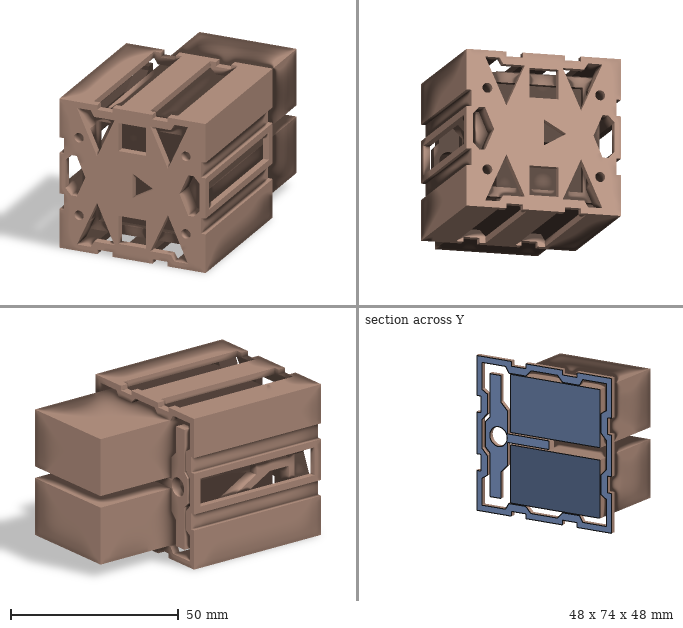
import cadquery as cq


HOUSING_SIZE = 48.0
HOUSING_LENGTH = HOUSING_SIZE
HOUSING_HALF = HOUSING_SIZE / 2
TOTAL_LENGTH = 74.0
WALL = 2.0
RAIL_WALL = 3.9
END_WALL = 2.5
CAVITY_HALF = HOUSING_HALF - WALL
RAIL_HALF_GAP = HOUSING_HALF - RAIL_WALL
RAIL_OUTER_TOP = 12.6
RAIL_OUTER_FOOT = 13.8

GROOVE_INNER = 6.5
GROOVE_OUTER = 11.55
GROOVE_DEPTH = 1.5

SLOT_LENGTH = HOUSING_LENGTH - 2 * END_WALL
TOP_SLOT_INNER = 4.65
TOP_SLOT_OUTER = RAIL_OUTER_FOOT
SIDE_SLOT_HALF = 4.45

BLOCK_INNER_X = 15.0
BLOCK_REAR = 6.5
SCREW_X = 17.55
SCREW_Z = 12.5
SCREW_DIAMETER = 3.0
CORNER_TRIANGLE_X = 11.6
CORNER_TRIANGLE_TIP_Z = 7.5
CORNER_TRIANGLE_HALF_BASE = 6.6
SIDE_OPENING_TIP_X = 15.5
SIDE_OPENING_SHOULDER_X = 18.3
SQUARE_OPENING = 9.0
SQUARE_OPENING_Z = 14.95
CENTER_TRIANGLE_TIP_X = 6.95
CENTER_TRIANGLE_HALF_HEIGHT = 4.0

CELL_WIDTH = 32.0
CELL_RIGHT = 20.0
CELL_TOP = 20.0
CELL_BOTTOM = 1.85
CELL_FRONT = 9.0
CELL_LEFT = CELL_RIGHT - CELL_WIDTH

FRAME_FRONT = BLOCK_REAR
FRAME_REAR = FRAME_FRONT + 2.1
FRAME_HALF_WIDTH = 19.3
FRAME_HALF_HEIGHT = 19.1
WINDOW_HALF_WIDTH = 14.05
WINDOW_HALF_HEIGHT = 16.05
TONGUE_HALF = 1.4
CROSSBAR_REAR = 10.1
SIDE_BAR_INNER_X = -15.3
SIDE_BAR_REAR = 20.9
ARM_RUN = 5.2
ARM_RISE = 0.56
BRACE_ROOT_X = -16.35
BRACE_SHIFT = 0.5
PLATE_THICKNESS = 3.0
PLATE_FRONT = HOUSING_LENGTH - PLATE_THICKNESS
PLATE_INNER_X = -13.0
PLATE_INNER_HALF = 8.5
PLATE_TAB_X = -20.9
PLATE_TAB_HALF = 4.0
PLATE_HOLE_X = -16.2
PLATE_HOLE_DIAMETER = 6.0


def box(x0, x1, y0, y1, z0, z1):
    """Axis-aligned box between the given limits."""
    return cq.Workplane("XY").box(x1 - x0, y1 - y0, z1 - z0, centered=False).translate((x0, y0, z0))


def prism_along_y(points, y0, y1):
    """Prism with an XZ outline, running from y0 to y1."""
    return cq.Workplane("XZ", origin=(0, y0, 0)).polyline(points).close().extrude(y0 - y1)


def cylinder_along_y(x, z, diameter, y0, y1):
    """Round bar parallel to Y, running from y0 to y1."""
    return cq.Workplane("XZ", origin=(x, y0, z)).circle(diameter / 2).extrude(y0 - y1)


def mirrored_in_x_and_z(shape):
    """The shape together with its mirror images in the YZ and XY planes."""
    pair = shape.union(shape.mirror("YZ"))
    return pair.union(pair.mirror("XY"))


def screw_holes(y0, y1):
    """Four holes that run through the housing front and the holder frame."""
    return mirrored_in_x_and_z(cylinder_along_y(SCREW_X, SCREW_Z, SCREW_DIAMETER, y0, y1))



def rail_outline(inner_foot):
    """Bevelled rail on the upper wall, whose bevel near the middle starts at inner_foot."""
    return [
        (inner_foot, CAVITY_HALF),
        (GROOVE_INNER, RAIL_HALF_GAP),
        (RAIL_OUTER_TOP, RAIL_HALF_GAP),
        (RAIL_OUTER_FOOT, CAVITY_HALF),
    ]


def cavity_prism(y0, y1):
    """Inside of the tube: a square less the rails under the outside grooves."""
    square = box(-CAVITY_HALF, CAVITY_HALF, y0, y1, -CAVITY_HALF, CAVITY_HALF)
    top_rail = prism_along_y(rail_outline(TOP_SLOT_INNER), y0, y1)
    side_rail = prism_along_y([(z, x) for x, z in rail_outline(SIDE_SLOT_HALF)], y0, y1)
    return square.cut(mirrored_in_x_and_z(top_rail)).cut(mirrored_in_x_and_z(side_rail))


def screw_blocks():
    """Material behind the front wall, left and right of the middle space."""
    right = box(BLOCK_INNER_X, HOUSING_HALF, END_WALL, BLOCK_REAR, -HOUSING_HALF, HOUSING_HALF)
    return right.union(right.mirror("YZ"))


def grooves():
    """Two outside grooves on each of the four long faces."""
    floor = HOUSING_HALF - GROOVE_DEPTH
    top = box(GROOVE_INNER, GROOVE_OUTER, 0, HOUSING_LENGTH, floor, HOUSING_HALF)
    side = box(floor, HOUSING_HALF, 0, HOUSING_LENGTH, GROOVE_INNER, GROOVE_OUTER)
    return mirrored_in_x_and_z(top).union(mirrored_in_x_and_z(side))


def slots():
    """Two slots in the top and bottom faces and one in each side face."""
    rear = END_WALL + SLOT_LENGTH
    top = box(TOP_SLOT_INNER, TOP_SLOT_OUTER, END_WALL, rear, RAIL_HALF_GAP, HOUSING_HALF)
    side = box(CAVITY_HALF, HOUSING_HALF, END_WALL, rear, -SIDE_SLOT_HALF, SIDE_SLOT_HALF)
    return mirrored_in_x_and_z(top).union(side).union(side.mirror("YZ"))


def front_openings():
    """Triangles, side openings and squares, held within the tube's inside outline.

    The triangles end level with the rails, also in the strip between two rails.
    """
    corner_triangle = prism_along_y(
        [
            (CORNER_TRIANGLE_X, CORNER_TRIANGLE_TIP_Z),
            (CORNER_TRIANGLE_X + CORNER_TRIANGLE_HALF_BASE, CAVITY_HALF),
            (CORNER_TRIANGLE_X - CORNER_TRIANGLE_HALF_BASE, CAVITY_HALF),
        ],
        0,
        BLOCK_REAR,
    )
    side_opening = prism_along_y(
        [
            (SIDE_OPENING_TIP_X, 0),
            (SIDE_OPENING_SHOULDER_X, GROOVE_INNER),
            (CAVITY_HALF, GROOVE_INNER),
            (CAVITY_HALF, -GROOVE_INNER),
            (SIDE_OPENING_SHOULDER_X, -GROOVE_INNER),
        ],
        0,
        BLOCK_REAR,
    )
    square = box(
        -SQUARE_OPENING / 2,
        SQUARE_OPENING / 2,
        0,
        END_WALL,
        SQUARE_OPENING_Z - SQUARE_OPENING / 2,
        SQUARE_OPENING_Z + SQUARE_OPENING / 2,
    )
    center_triangle = prism_along_y(
        [
            (0, CENTER_TRIANGLE_HALF_HEIGHT),
            (CENTER_TRIANGLE_TIP_X, 0),
            (0, -CENTER_TRIANGLE_HALF_HEIGHT),
        ],
        0,
        END_WALL,
    )
    openings = mirrored_in_x_and_z(corner_triangle)
    openings = openings.union(side_opening).union(side_opening.mirror("YZ"))
    openings = openings.union(square).union(square.mirror("XY")).union(center_triangle)
    top_strip = box(-GROOVE_INNER, GROOVE_INNER, 0, BLOCK_REAR, RAIL_HALF_GAP, CAVITY_HALF)
    openings = openings.cut(top_strip).cut(top_strip.mirror("XY"))
    return openings.intersect(cavity_prism(0, BLOCK_REAR))


def make_housing():
    outside = box(-HOUSING_HALF, HOUSING_HALF, 0, HOUSING_LENGTH, -HOUSING_HALF, HOUSING_HALF)
    body = outside.cut(cavity_prism(END_WALL, HOUSING_LENGTH)).union(screw_blocks())
    body = body.cut(front_openings()).cut(screw_holes(0, BLOCK_REAR))
    return body.cut(grooves()).cut(slots())



def make_cell(bottom):
    """Rectangular block whose underside is at the given height."""
    height = CELL_TOP - CELL_BOTTOM
    return box(CELL_LEFT, CELL_RIGHT, CELL_FRONT, TOTAL_LENGTH, bottom, bottom + height)



def front_frame():
    """Window frame with a crossbar that reaches back between the cells."""
    frame = box(
        -FRAME_HALF_WIDTH,
        FRAME_HALF_WIDTH,
        FRAME_FRONT,
        FRAME_REAR,
        -FRAME_HALF_HEIGHT,
        FRAME_HALF_HEIGHT,
    )
    window = box(
        -WINDOW_HALF_WIDTH,
        WINDOW_HALF_WIDTH,
        FRAME_FRONT,
        FRAME_REAR,
        -WINDOW_HALF_HEIGHT,
        WINDOW_HALF_HEIGHT,
    )
    crossbar = box(
        -FRAME_HALF_WIDTH,
        FRAME_HALF_WIDTH,
        FRAME_FRONT,
        CROSSBAR_REAR,
        -TONGUE_HALF,
        TONGUE_HALF,
    )
    return frame.cut(window).cut(screw_holes(FRAME_FRONT, FRAME_REAR)).union(crossbar)


def forked_side_arm():
    """Side bar that splits into one arm rising and one falling to the rear plate."""
    bar = box(
        -FRAME_HALF_WIDTH,
        SIDE_BAR_INNER_X,
        FRAME_FRONT,
        SIDE_BAR_REAR,
        -TONGUE_HALF,
        TONGUE_HALF,
    )
    root_front = SIDE_BAR_REAR - ARM_RUN
    arm = (
        cq.Workplane("YZ", origin=(-FRAME_HALF_WIDTH, 0, 0))
        .polyline(
            [
                (root_front, TONGUE_HALF),
                (SIDE_BAR_REAR, TONGUE_HALF),
                (PLATE_FRONT, TONGUE_HALF + ARM_RISE * (PLATE_FRONT - SIDE_BAR_REAR)),
                (PLATE_FRONT, TONGUE_HALF + ARM_RISE * (PLATE_FRONT - root_front)),
            ]
        )
        .close()
        .extrude(SIDE_BAR_INNER_X + FRAME_HALF_WIDTH)
    )
    return bar.union(arm).union(arm.mirror("XY"))


def slanted_brace():
    """Flat brace between the cells, from the side bar to the rear bar."""
    front_edge_shift = BRACE_SHIFT * (HOUSING_LENGTH - CROSSBAR_REAR)
    rear_edge_shift = BRACE_SHIFT * (HOUSING_LENGTH - SIDE_BAR_REAR)
    brace = (
        cq.Workplane("XY", origin=(0, 0, -TONGUE_HALF))
        .polyline(
            [
                (BRACE_ROOT_X, CROSSBAR_REAR),
                (BRACE_ROOT_X + front_edge_shift, HOUSING_LENGTH),
                (BRACE_ROOT_X + rear_edge_shift, HOUSING_LENGTH),
                (BRACE_ROOT_X, SIDE_BAR_REAR),
            ]
        )
        .close()
        .extrude(2 * TONGUE_HALF)
    )
    rear_bar = box(
        PLATE_INNER_X,
        BRACE_ROOT_X + rear_edge_shift,
        PLATE_FRONT,
        HOUSING_LENGTH,
        -TONGUE_HALF,
        TONGUE_HALF,
    )
    return brace.union(rear_bar)


def rear_plate():
    """Upright plate beside the cells with a tab in the side recess and a round hole."""
    tab_root_half = PLATE_TAB_HALF + (-FRAME_HALF_WIDTH - PLATE_TAB_X)
    bevel_top = PLATE_INNER_HALF + (PLATE_INNER_X - SIDE_BAR_INNER_X)
    upper_edge = [
        (PLATE_TAB_X, PLATE_TAB_HALF),
        (-FRAME_HALF_WIDTH, tab_root_half),
        (-FRAME_HALF_WIDTH, FRAME_HALF_HEIGHT),
        (SIDE_BAR_INNER_X, FRAME_HALF_HEIGHT),
        (SIDE_BAR_INNER_X, bevel_top),
        (PLATE_INNER_X, PLATE_INNER_HALF),
    ]
    lower_edge = [(x, -z) for x, z in reversed(upper_edge)]
    plate = prism_along_y(upper_edge + lower_edge, PLATE_FRONT, HOUSING_LENGTH)
    hole = cylinder_along_y(PLATE_HOLE_X, 0, PLATE_HOLE_DIAMETER, PLATE_FRONT, HOUSING_LENGTH)
    return plate.cut(hole)


def make_holder():
    return front_frame().union(forked_side_arm()).union(slanted_brace()).union(rear_plate())


housing = make_housing()
cells = [make_cell(bottom) for bottom in (CELL_BOTTOM, -CELL_TOP)]
holder = make_holder()

result = cq.Compound.makeCompound([housing.val(), *[cell.val() for cell in cells], holder.val()])